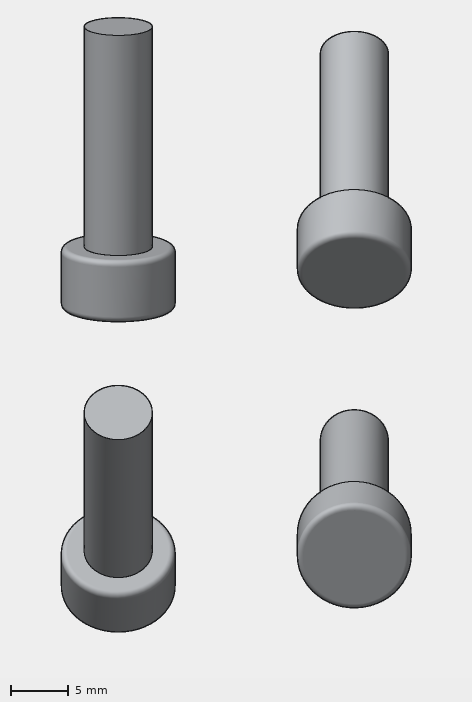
import cadquery as cq

total_length = 25.6
head_diameter = 10.0
head_height = 5.6
head_edge_radius = 0.5
shank_diameter = 6.0
shank_length = total_length - head_height


def make_head():
    """Cylindrical head with both rims rounded, its outer face at Z = 0."""
    head = cq.Workplane("XY").circle(head_diameter / 2).extrude(head_height)
    return head.edges("%CIRCLE").fillet(head_edge_radius)


def make_shank():
    """Plain cylindrical shank rising from the inner face of the head."""
    base = cq.Workplane("XY").workplane(offset=head_height)
    return base.circle(shank_diameter / 2).extrude(shank_length)


result = make_head().union(make_shank())